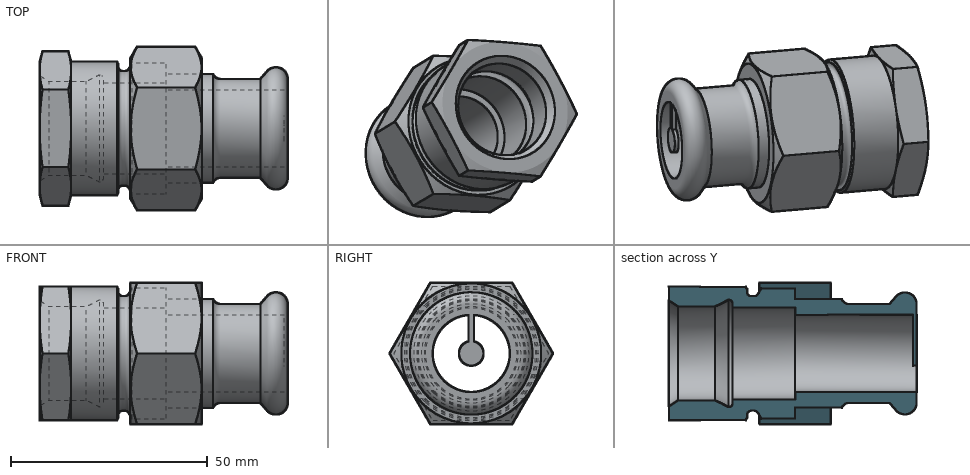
import cadquery as cq
import math


hex_end = 8.0
hex_half_flats = 17.0
hex_face_radius = 16.95
hex_chamfer_angle = 15.0
barrel_radius = hex_half_flats
barrel_end = 20.0
barrel_chamfer_length = 0.4
barrel_chamfer_depth = 0.7

neck_radius = 14.6
neck_round = 1.0
neck_end = 21.75
seat_radius = 16.65
seat_chamfer_angle = 60.0

nut_start = 23.0
nut_end = 41.2
nut_half_flats = 36.0 / 2
nut_face_radius = 17.75
nut_chamfer_angle = 30.0
seat_end = (nut_start + nut_end) / 2

collar_radius = 13.85
collar_end = 44.0
tube_radius = 12.6
tube_start = 45.85

fitting_length = 63.0
bead_start = 56.0
bead_radius = 15.55
bead_round = 3.0
bead_cone_angle = 45.0

mouth_radius = 13.4
mouth_chamfer_length = 2.3
thread_radius = 11.9
thread_end = 11.8
runout_radius = 13.6
runout_start = 15.2
runout_end = 16.2
passage_radius = 11.6
passage_end = seat_end
tail_bore_radius = 9.75

disc_thickness = 1.0
disc_radius = 3.15
strip_width = 1.5


def revolve_about_x(profile):
    """Turn an (X, radius) profile, closed along its last side, about the X axis."""
    return profile.close().revolve(360, (0, 0, 0), (1, 0, 0))


def chamfered_hexagon(start, end, half_flats, face_radius, chamfer_angle):
    """Hexagonal prism with corners on +Y and -Y, turned off by a cone at both ends."""
    corner_radius = half_flats / math.cos(math.radians(30))
    prism = (
        cq.Workplane("YZ")
        .workplane(offset=start)
        .polygon(6, 2 * corner_radius)
        .extrude(end - start)
    )
    corner_clearance = 0.6
    outer_radius = corner_radius + corner_clearance
    cone_length = (outer_radius - face_radius) * math.tan(math.radians(chamfer_angle))
    envelope = revolve_about_x(
        cq.Workplane("XY")
        .moveTo(start, 0)
        .lineTo(start, face_radius)
        .lineTo(start + cone_length, outer_radius)
        .lineTo(end - cone_length, outer_radius)
        .lineTo(end, face_radius)
        .lineTo(end, 0)
    )
    return prism.intersect(envelope)


def turned_outside():
    """Barrel, undercut neck, nut seat, collar, tube and rounded press bead as one turned shape."""
    seat_slope = math.radians(seat_chamfer_angle)
    neck_arc_end = neck_end + neck_round * math.sin(seat_slope)
    neck_arc_radius = neck_radius + neck_round * (1 - math.cos(seat_slope))
    seat_start = neck_arc_end + (seat_radius - neck_arc_radius) / math.tan(seat_slope)

    collar_step = collar_radius - tube_radius
    collar_round = ((tube_start - collar_end) ** 2 + collar_step**2) / (2 * collar_step)

    bead_center = fitting_length - bead_round
    bead_center_radius = bead_radius - bead_round
    bead_slope = math.radians(bead_cone_angle)
    bead_arc_start = bead_center - bead_round * math.sin(bead_slope)
    bead_arc_radius = bead_center_radius + bead_round * math.cos(bead_slope)

    return revolve_about_x(
        cq.Workplane("XY")
        .lineTo(0, hex_face_radius)
        .lineTo(hex_end, barrel_radius)
        .lineTo(barrel_end - barrel_chamfer_length, barrel_radius)
        .lineTo(barrel_end, barrel_radius - barrel_chamfer_depth)
        .lineTo(barrel_end, neck_radius + neck_round)
        .radiusArc((barrel_end + neck_round, neck_radius), -neck_round)
        .lineTo(neck_end, neck_radius)
        .radiusArc((neck_arc_end, neck_arc_radius), -neck_round)
        .lineTo(seat_start, seat_radius)
        .lineTo(seat_end, seat_radius)
        .lineTo(seat_end, collar_radius)
        .lineTo(collar_end, collar_radius)
        .radiusArc((tube_start, tube_radius), -collar_round)
        .lineTo(bead_start, tube_radius)
        .lineTo(bead_arc_start, bead_arc_radius)
        .threePointArc((bead_center, bead_radius), (fitting_length, bead_center_radius))
        .lineTo(fitting_length, 0)
    )


def stepped_bore():
    """Threaded inlet with its runout, then the passage and the narrower tail bore."""
    runout_round = runout_end - runout_start
    return revolve_about_x(
        cq.Workplane("XY")
        .lineTo(0, mouth_radius)
        .lineTo(mouth_chamfer_length, thread_radius)
        .lineTo(thread_end, thread_radius)
        .lineTo(runout_start, runout_radius)
        .radiusArc((runout_end, runout_radius - runout_round), runout_round)
        .lineTo(runout_end, passage_radius)
        .lineTo(passage_end, passage_radius)
        .lineTo(passage_end, tail_bore_radius)
        .lineTo(fitting_length, tail_bore_radius)
        .lineTo(fitting_length, 0)
    )


def hung_disc():
    """Disc on the bore axis with a strip rising to the wall, flush with the outlet."""
    outlet_plane = cq.Workplane("YZ").workplane(offset=fitting_length - disc_thickness)
    disc = outlet_plane.circle(disc_radius).extrude(disc_thickness)
    strip_length = (tail_bore_radius + tube_radius) / 2
    strip = (
        outlet_plane.center(0, strip_length / 2)
        .rect(strip_width, strip_length)
        .extrude(disc_thickness)
    )
    return disc.union(strip)


def make_fitting():
    hexagon = chamfered_hexagon(0, hex_end, hex_half_flats, hex_face_radius, hex_chamfer_angle)
    return turned_outside().union(hexagon).cut(stepped_bore()).union(hung_disc())


def make_nut():
    """Hexagon nut bored to fit the seat, then the collar."""
    hexagon = chamfered_hexagon(nut_start, nut_end, nut_half_flats, nut_face_radius, nut_chamfer_angle)
    seat_bore = (
        cq.Workplane("YZ").workplane(offset=nut_start).circle(seat_radius).extrude(seat_end - nut_start)
    )
    collar_bore = (
        cq.Workplane("YZ").workplane(offset=seat_end).circle(collar_radius).extrude(nut_end - seat_end)
    )
    return hexagon.cut(seat_bore).cut(collar_bore)


fitting = make_fitting()
nut = make_nut()
result = cq.Compound.makeCompound([fitting.val(), nut.val()])